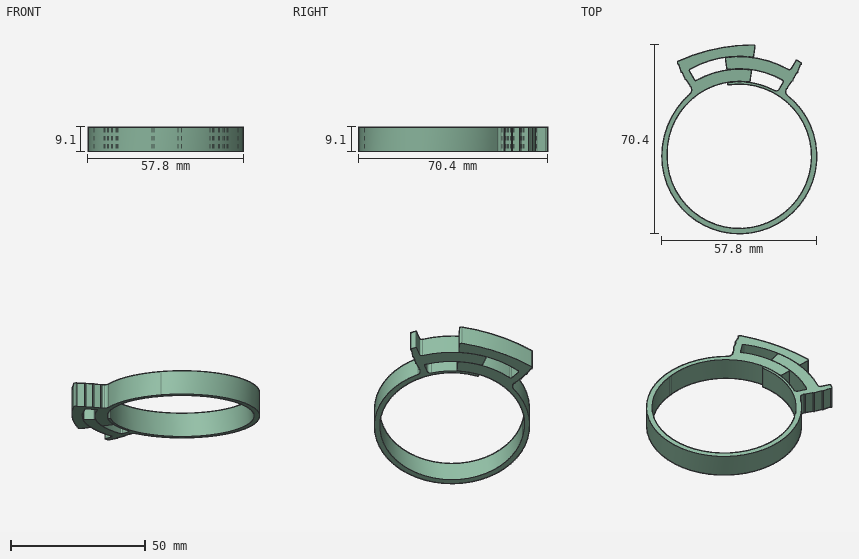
import cadquery as cq
import math


height = 9.1
total_length = 70.4
ring_diameter = 57.8
ring_outer = ring_diameter / 2
ring_inner = 26.8
bore_lift = 1.05
back_shift = 2.1

gap = 0.1
mate_inner = ring_inner + bore_lift
jaw_pitch = 4.65
mate_middle = mate_inner + jaw_pitch
mate_outer = mate_middle + jaw_pitch
tongue_outer = mate_inner - gap
lower_jaw_outer = mate_middle - gap / 2
right_jaw_inner = mate_middle + gap / 2
right_jaw_outer = mate_outer - gap / 2
upper_jaw_inner = mate_outer + gap / 2

jaw_overlap = 8.2
tongue_overlap = 9.2
left_end = 90 + jaw_overlap
right_end = 90 - jaw_overlap
tongue_end = 90 + tongue_overlap
left_pocket = 120.3
right_pocket = 59.4

crown_radius = 67.6
crown_x = 5.2
crown_y = total_length - ring_outer - crown_radius

right_lever_top = 41.75
tooth_face = 0.4
tooth_ledge = 0.4
left_tips = [(-23.1, 34.3), (-21.75, 31.25), (-20.3, 28.5), (-18.45, 26.0)]
right_tips = [(23.2, 34.2), (21.75, 31.05), (20.0, 28.0), (17.95, 25.2)]
left_neck_x = -17.6
right_neck_x = 17.2

jaw_round = 0.55
tongue_round = 0.35
outer_round = 0.7
pocket_round = 0.55
left_pocket_root_round = 0.4
right_pocket_root_round = 1.3
lever_root_round = 0.85
right_lever_tip_round = 0.3
left_neck_round = 1.75
right_neck_round = 1.4
tooth_round = 0.2


def polar(radius, angle):
    """Point at a radius and angle about the ring axis."""
    a = math.radians(angle)
    return (radius * math.cos(a), radius * math.sin(a))


def circle_y(x, radius, center_x=0.0, center_y=0.0):
    """Y of the upper half of a circle at a given X."""
    return center_y + math.sqrt(radius**2 - (x - center_x) ** 2)


def crown_reach(angle):
    """Distance from the ring axis to the crown arc along a radial direction."""
    direction_x, direction_y = polar(1, angle)
    along = direction_x * crown_x + direction_y * crown_y
    across = direction_x * crown_y - direction_y * crown_x
    return along + math.sqrt(crown_radius**2 - across**2)


def polar_angle(point):
    """Angle of a point about the ring axis."""
    return math.degrees(math.atan2(point[1], point[0]))


def arc(path, radius, start, end):
    """Add an arc about the ring axis from the current point at angle start."""
    return path.threePointArc(polar(radius, (start + end) / 2), polar(radius, end))


def arc_to_x(path, radius, start_x, end_x, center_x, center_y):
    """Add an upper arc of a shifted circle between two X positions."""
    middle_x = (start_x + end_x) / 2
    middle = (middle_x, circle_y(middle_x, radius, center_x, center_y))
    end = (end_x, circle_y(end_x, radius, center_x, center_y))
    return path.threePointArc(middle, end)


def grip_points(tips):
    """Saw-tooth outline from the ledge of the lowest tooth up to the highest tip."""
    points = []
    for x, y in reversed(tips):
        ledge_x = x - math.copysign(tooth_ledge, x)
        points += [(ledge_x, y), (x, y), (x, y + tooth_face)]
    return points[:-1]


right_neck = (right_neck_x, circle_y(right_neck_x, ring_outer))
right_lever_corner = (right_tips[0][0], circle_y(right_tips[0][0], right_lever_top))
right_lever_tip = polar(right_lever_top, right_pocket)
right_lever_root = polar(right_jaw_outer, right_pocket)

left_back_radius = ring_outer + back_shift
left_neck = (left_neck_x, circle_y(left_neck_x, left_back_radius, back_shift))
left_lever_x = left_tips[0][0]
left_lever_corner = (left_lever_x, circle_y(left_lever_x, crown_radius, crown_x, crown_y))

upper_jaw_end_inner = polar(upper_jaw_inner, right_end)
upper_jaw_end_outer = polar(crown_reach(right_end), right_end)

lower_jaw_end_x = polar(mate_inner, right_end)[0]
lower_jaw_end_inner = (lower_jaw_end_x, circle_y(lower_jaw_end_x, ring_inner, 0, bore_lift))
lower_jaw_end_outer = polar(lower_jaw_outer, right_end)

right_neck_angle = polar_angle(right_neck)
right_corner_angle = polar_angle(right_lever_corner)

path = cq.Workplane("XY").moveTo(*polar(ring_outer, -180))
path = arc(path, ring_outer, -180, right_neck_angle)
for point in grip_points(right_tips) + [right_lever_corner]:
    path = path.lineTo(*point)
path = arc(path, right_lever_top, right_corner_angle, right_pocket)
path = path.lineTo(*right_lever_root)
path = arc(path, right_jaw_outer, right_pocket, left_end)
path = path.lineTo(*polar(right_jaw_inner, left_end))
path = arc(path, right_jaw_inner, left_end, right_pocket)
path = path.lineTo(*polar(tongue_outer, right_pocket))
path = arc(path, tongue_outer, right_pocket, tongue_end)
path = path.lineTo(*polar(ring_inner, tongue_end))

path = arc(path, ring_inner, tongue_end, -180)
path = path.lineTo(-ring_inner, bore_lift)
path = arc_to_x(path, ring_inner, -ring_inner, lower_jaw_end_x, 0, bore_lift)
path = path.lineTo(*lower_jaw_end_outer)
path = arc(path, lower_jaw_outer, right_end, left_pocket)
path = path.lineTo(*polar(upper_jaw_inner, left_pocket))
path = arc(path, upper_jaw_inner, left_pocket, right_end)
path = path.lineTo(*upper_jaw_end_outer)
path = arc_to_x(path, crown_radius, upper_jaw_end_outer[0], left_lever_x, crown_x, crown_y)
for point in reversed(grip_points(left_tips)):
    path = path.lineTo(*point)
path = path.lineTo(*left_neck)
path = arc_to_x(path, left_back_radius, left_neck_x, -ring_outer, back_shift, 0)

clamp = path.close().extrude(height)

rounded_corners = [
    (right_neck, right_neck_round),
    (right_lever_corner, outer_round),
    (right_lever_tip, right_lever_tip_round),
    (right_lever_root, lever_root_round),
    (polar(right_jaw_outer, left_end), jaw_round),
    (polar(right_jaw_inner, left_end), jaw_round),
    (polar(right_jaw_inner, right_pocket), pocket_round),
    (polar(tongue_outer, right_pocket), right_pocket_root_round),
    (polar(tongue_outer, tongue_end), tongue_round),
    (polar(ring_inner, tongue_end), tongue_round),
    (lower_jaw_end_inner, jaw_round),
    (lower_jaw_end_outer, jaw_round),
    (polar(lower_jaw_outer, left_pocket), left_pocket_root_round),
    (polar(upper_jaw_inner, left_pocket), pocket_round),
    (upper_jaw_end_inner, jaw_round),
    (upper_jaw_end_outer, outer_round),
    (left_lever_corner, outer_round),
    (left_neck, left_neck_round),
]
rounded_corners += [(tip, tooth_round) for tip in left_tips + right_tips]
for (x, y), radius in rounded_corners:
    corner_edge = cq.NearestToPointSelector((x, y, height / 2))
    clamp = clamp.edges("|Z").edges(corner_edge).fillet(radius)

result = clamp